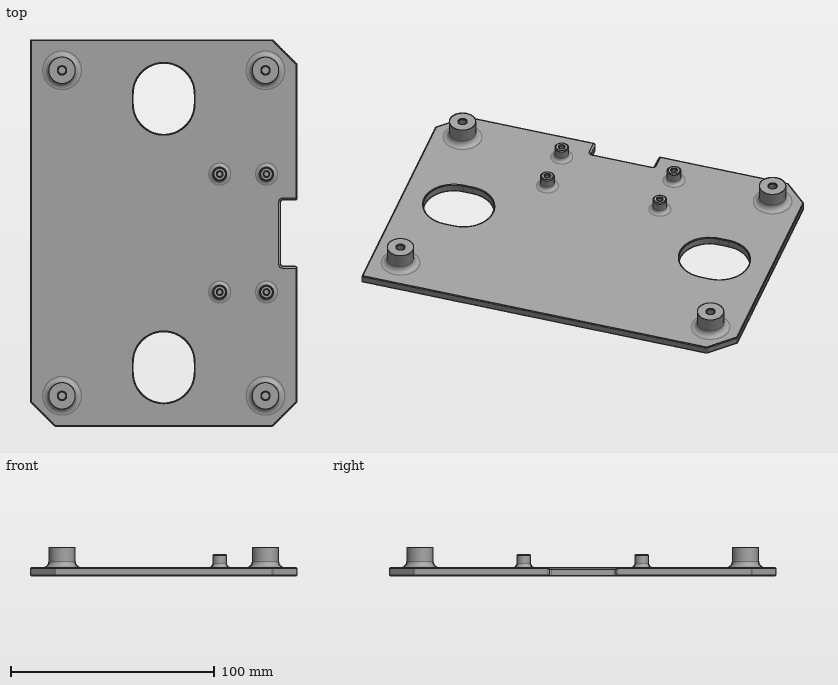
import cadquery as cq

plate_x = 131.0
plate_y = 190.0
plate_z = 4.0
corner_cut = 12.0
edge_chamfer = 0.4
corner_radius = 1.0

window_width = 30.0
window_length = 35.0
window_offset_y = 66.0

notch_depth = 8.0
notch_width = 32.6
notch_chamfer = 1.0

post_diameter = 13.0
post_top_z = 14.0
post_hole_diameter = 3.8
post_root_fillet = 3.0
post_pitch_x = 100.0
post_pitch_y = 160.0

standoff_diameter = 6.8
standoff_top_z = 10.5
standoff_hole_diameter = 2.5
standoff_root_fillet = 2.0
standoff_top_chamfer = 0.5
standoff_pitch_x = 23.0
standoff_pitch_y = 58.0
standoff_center_x = 39.0

hole_chamfer = 0.4

chamfer_taper = -45


def make_plate():
    """Plate with a square -X +Y corner and three 45 degree cut corners with softened edges."""
    half_x = plate_x / 2
    half_y = plate_y / 2
    plate = (
        cq.Workplane("XY")
        .moveTo(-half_x, half_y)
        .lineTo(-half_x, corner_cut - half_y)
        .lineTo(corner_cut - half_x, -half_y)
        .lineTo(half_x - corner_cut, -half_y)
        .lineTo(half_x, corner_cut - half_y)
        .lineTo(half_x, half_y - corner_cut)
        .lineTo(half_x - corner_cut, half_y)
        .close()
        .extrude(plate_z)
    )
    plate = plate.edges("|Z except >(-1, 1, 0)").fillet(corner_radius)
    return plate.faces("<Z or >Z").edges().chamfer(edge_chamfer)


def cut_with_top_chamfer(body, outline, chamfer):
    """Cut an outline through the plate, widening it into a chamfer at the top face."""
    opening = cq.Workplane("XY").placeSketch(outline).extrude(plate_z)
    flare = (
        cq.Workplane("XY", origin=(0, 0, plate_z - chamfer))
        .placeSketch(outline)
        .extrude(chamfer, taper=chamfer_taper)
    )
    return body.cut(opening).cut(flare)


def cut_notch(body):
    """Notch in the +X edge with rounded inner corners and rounded mouth corners."""
    outline = cq.Sketch().rect(2 * notch_depth, notch_width).vertices().fillet(corner_radius)
    body = cut_with_top_chamfer(body, outline.moved(cq.Location((plate_x / 2, 0, 0))), notch_chamfer)
    reach_y = notch_width / 2 + corner_radius
    mouth = cq.selectors.BoxSelector(
        (plate_x / 2 - corner_radius, -reach_y, 0),
        (plate_x / 2 + corner_radius, reach_y, plate_z),
    )
    return body.edges(mouth).edges("|Z").fillet(corner_radius)


def cut_windows(body):
    """Two through windows with round ends."""
    straight_length = window_length - window_width
    for side in (-1, 1):
        outline = cq.Sketch().slot(straight_length, window_width, angle=90)
        center = cq.Location((0, side * window_offset_y, 0))
        body = cut_with_top_chamfer(body, outline.moved(center), edge_chamfer)
    return body


def make_pillar(diameter, top_z, root_fillet, hole_diameter, top_chamfer=0):
    """Round pillar with a concave root and a blind hole down to the level of the plate face."""
    radius = diameter / 2
    hole_radius = hole_diameter / 2
    root_radius = radius + root_fillet
    arc_middle = root_fillet * (1 - 0.5 ** 0.5)
    profile = (
        cq.Workplane("XZ")
        .lineTo(root_radius, 0)
        .lineTo(root_radius, plate_z)
        .threePointArc((radius + arc_middle, plate_z + arc_middle), (radius, plate_z + root_fillet))
        .lineTo(radius, top_z - top_chamfer)
    )
    if top_chamfer > 0:
        profile = profile.lineTo(radius - top_chamfer, top_z)
    profile = (
        profile.lineTo(hole_radius + hole_chamfer, top_z)
        .lineTo(hole_radius, top_z - hole_chamfer)
        .lineTo(hole_radius, plate_z)
        .lineTo(0, plate_z)
        .close()
    )
    return profile.revolve(360, (0, 0, 0), (0, 1, 0))


def add_pillars(body, pillar, center_x, pitch_x, pitch_y):
    """Four copies of a pillar in a rectangle centred at (center_x, 0)."""
    for side_x in (-1, 1):
        for side_y in (-1, 1):
            place = (center_x + side_x * pitch_x / 2, side_y * pitch_y / 2, 0)
            body = body.union(pillar.translate(place))
    return body


post = make_pillar(post_diameter, post_top_z, post_root_fillet, post_hole_diameter)
standoff = make_pillar(
    standoff_diameter,
    standoff_top_z,
    standoff_root_fillet,
    standoff_hole_diameter,
    standoff_top_chamfer,
)

result = make_plate()
result = cut_notch(result)
result = cut_windows(result)
result = add_pillars(result, post, 0, post_pitch_x, post_pitch_y)
result = add_pillars(result, standoff, standoff_center_x, standoff_pitch_x, standoff_pitch_y)